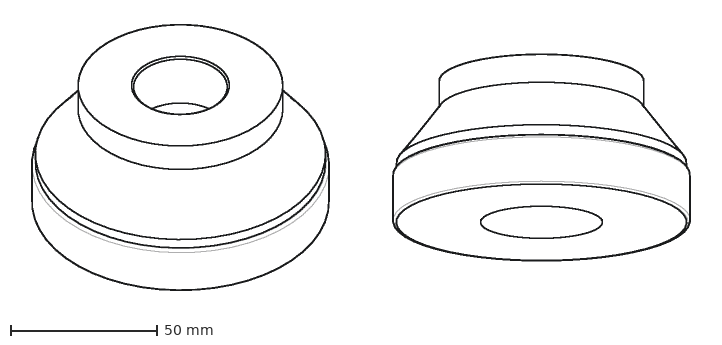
import cadquery as cq

ring_diameter = 101.6
ring_height = 17.5
ring_lower_edge_radius = 0.76
ring_upper_edge_radius = 1.0

hub_height = 50.0
foot_diameter = 99.2
foot_height = 21.0
neck_diameter = 70.0
neck_length = 10.0
bore_diameter = 32.0
bore_chamfer = 0.7
counterbore_diameter = 41.7
counterbore_depth = 30.7


def make_ring():
    """Band with both outer edges rounded, fitting closely around the hub foot."""
    band = cq.Workplane("XY").circle(ring_diameter / 2).extrude(ring_height)
    band = band.faces("<Z").edges().fillet(ring_lower_edge_radius)
    band = band.faces(">Z").edges().fillet(ring_upper_edge_radius)
    opening = cq.Workplane("XY").circle(foot_diameter / 2).extrude(ring_height)
    return band.cut(opening)


def make_hub():
    """Revolved hub with a bore chamfered at the top and widened from below."""
    foot_radius = foot_diameter / 2
    neck_radius = neck_diameter / 2
    bore_radius = bore_diameter / 2
    counterbore_radius = counterbore_diameter / 2
    return (
        cq.Workplane("XZ")
        .moveTo(counterbore_radius, 0)
        .lineTo(foot_radius, 0)
        .lineTo(foot_radius, foot_height)
        .lineTo(neck_radius, hub_height - neck_length)
        .lineTo(neck_radius, hub_height)
        .lineTo(bore_radius + bore_chamfer, hub_height)
        .lineTo(bore_radius, hub_height - bore_chamfer)
        .lineTo(bore_radius, counterbore_depth)
        .lineTo(counterbore_radius, counterbore_depth)
        .close()
        .revolve(360, (0, 0, 0), (0, 1, 0))
    )


ring = make_ring()
hub = make_hub()

result = cq.Compound.makeCompound([ring.val(), hub.val()])